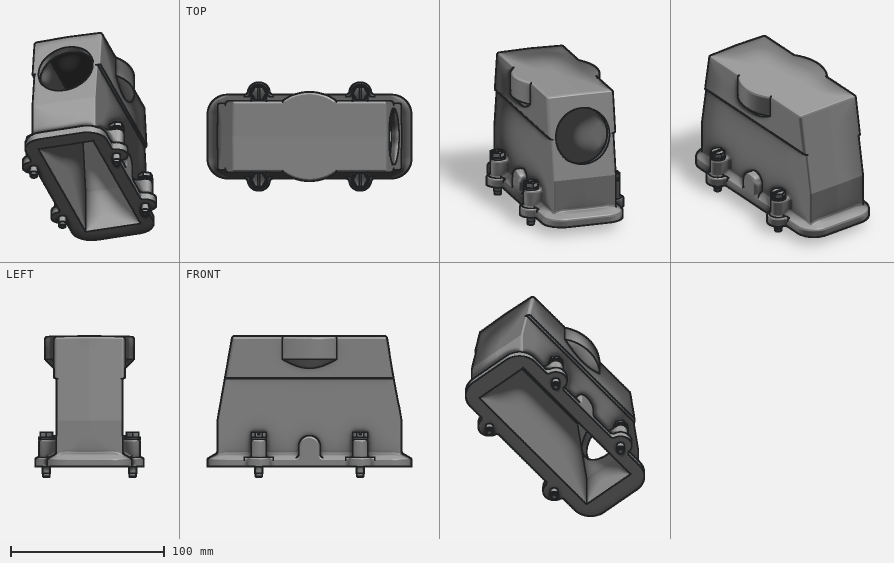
import cadquery as cq
import math

EDGE_ROUND = 2.0
DRAFT = 1.0

LENGTH = 133.0
WIDTH = 70.8
HEIGHT = 92.0
QUARTER_SIZE = 106.4

HOOD_TOP = 85.1
HOOD_HALF_LENGTH = 60.0
SLOPE_START = 30.0
SLOPE_ANGLE = 10.0
LOWER_HALF_WIDTH = 21.5
UPPER_HALF_WIDTH = 23.1
STEP_BOTTOM = 57.0
STEP_TOP = 58.0
LOWER_CORNER_ROUND = 1.0

GRIP_RADIUS = 29.1
GRIP_BOTTOM = 70.0

SIDE_WALL = 2.9
END_WALL = 5.5
ROOF_WALL = 2.9
ENTRY_DIAMETER = 37.0
ENTRY_HEIGHT = 57.5

FLANGE_HALF_WIDTH = 27.4
FLANGE_CORNER = 13.3
FLANGE_RIM = 5.2
RAMP_ANGLE = 30.0
RAMP_OVERLAP = 1.0

TONGUE_RADIUS = 7.0
TONGUE_ARC_HEIGHT = 13.2
TONGUE_SHOULDER = 6.0

POST_X = 33.0
EAR_RADIUS = 7.3
EAR_TOP = 6.0
EAR_ROUND = 1.5
EAR_NECK_ROUND = 2.0
POST_RADIUS = 4.9
POST_TOP = 18.0
POST_FOOT_HEIGHT = 1.6
POST_Y = WIDTH / 2 - EAR_RADIUS

WASHER_RADIUS = 4.9
HEAD_BOTTOM = 19.3
HEAD_TOP = 22.5
HEAD_ACROSS_FLATS = 8.2
SLOT_WIDTH = 1.2
SLOT_DEPTH = 1.7
PIN_RADIUS = 2.5
TIP_RADIUS = 2.3
TIP_START = -4.4
TIP_CHAMFER = 0.5
PIN_END = HOOD_TOP - HEIGHT

NEAR = 0.1
SLOPE_RUN = math.tan(math.radians(SLOPE_ANGLE))


def block(x_range, y_range, z_range):
    """Box given by its limits along the three axes."""
    (x0, x1), (y0, y1), (z0, z1) = x_range, y_range, z_range
    return cq.Workplane("XY", origin=(x0, y0, z0)).box(x1 - x0, y1 - y0, z1 - z0, centered=False)


def near(value, target):
    return abs(value - target) < NEAR


def keep_edges(solid, test):
    """Edges of the solid whose centre point passes the test."""
    return solid.newObject([edge for edge in solid.edges().vals() if test(edge.Center())])


def quarter(solid):
    """Portion of a solid with positive X and negative Y."""
    return solid.intersect(block((0, QUARTER_SIZE), (-QUARTER_SIZE, 0), (-QUARTER_SIZE, QUARTER_SIZE)))


def end_outline(half_length, top):
    """Front outline with upright ends below and inclined ends above."""
    top_x = half_length - (top - SLOPE_START) * SLOPE_RUN
    points = [
        (-half_length, 0),
        (half_length, 0),
        (half_length, SLOPE_START),
        (top_x, top),
        (-top_x, top),
        (-half_length, SLOPE_START),
    ]
    return cq.Workplane("XZ").polyline(points).close()


def drafted_quarter():
    """Hood outline drawn in by the draft from the middle plane outwards."""
    outline = end_outline(HOOD_HALF_LENGTH, HOOD_TOP)
    return quarter(outline.extrude(GRIP_RADIUS + 1.3, taper=DRAFT))


def lower_hood(drafted):
    lower = drafted.intersect(block((0, LENGTH), (-LOWER_HALF_WIDTH, 0), (0, STEP_TOP)))
    corners = keep_edges(lower, lambda p: p.x > HOOD_HALF_LENGTH / 2 and near(p.y, -LOWER_HALF_WIDTH))
    return corners.fillet(LOWER_CORNER_ROUND)


def upper_hood(drafted):
    """Slightly wider upper part, rounded at its corner and around the roof."""
    upper = drafted.intersect(block((0, LENGTH), (-UPPER_HALF_WIDTH, 0), (STEP_BOTTOM, HOOD_TOP)))
    middle_height = (STEP_BOTTOM + HOOD_TOP) / 2

    def is_rounded(p):
        on_roof = p.z > HOOD_TOP - EDGE_ROUND
        on_corner = abs(p.z - middle_height) < EDGE_ROUND and near(p.y, -UPPER_HALF_WIDTH)
        on_outside = p.x > NEAR and p.y < -NEAR
        return (on_roof or on_corner) and on_outside

    upper = keep_edges(upper, is_rounded).fillet(EDGE_ROUND)
    return upper.intersect(step_profile())


def step_profile():
    """Cross-section of the upper part with its bevelled lower edge."""
    points = [
        (0, STEP_BOTTOM),
        (-LOWER_HALF_WIDTH, STEP_BOTTOM),
        (-UPPER_HALF_WIDTH, STEP_TOP),
        (-UPPER_HALF_WIDTH, HOOD_TOP),
        (0, HOOD_TOP),
    ]
    return cq.Workplane("YZ").polyline(points).close().extrude(LENGTH)


def grip(drafted):
    """Round bulge with a conical underside and the rounded rim of the roof."""
    cylinder = cq.Workplane("XY").circle(GRIP_RADIUS).extrude(HOOD_TOP)
    bulge = drafted.intersect(cylinder)
    bulge = keep_edges(bulge, lambda p: p.z > HOOD_TOP - EDGE_ROUND and p.x > NEAR and p.y < -NEAR)
    bulge = bulge.fillet(EDGE_ROUND)

    cone_bottom = GRIP_BOTTOM - (GRIP_RADIUS - LOWER_HALF_WIDTH)
    points = [
        (0, cone_bottom),
        (LOWER_HALF_WIDTH, cone_bottom),
        (GRIP_RADIUS, GRIP_BOTTOM),
        (GRIP_RADIUS, HOOD_TOP),
        (0, HOOD_TOP),
    ]
    coned = cq.Workplane("XZ").polyline(points).close().revolve(360, (0, 0), (0, 1))
    return bulge.intersect(coned)


def flange():
    """Rounded rim with a ramp that rises towards the hood."""
    ramp_run = FLANGE_HALF_WIDTH - LOWER_HALF_WIDTH + RAMP_OVERLAP
    ramp_rise = ramp_run * math.tan(math.radians(RAMP_ANGLE))
    plan = cq.Sketch().rect(LENGTH, 2 * FLANGE_HALF_WIDTH).vertices().fillet(FLANGE_CORNER)
    rim = cq.Workplane("XY").placeSketch(plan).extrude(FLANGE_RIM)
    ramp = cq.Workplane("XY", origin=(0, 0, FLANGE_RIM)).placeSketch(plan)
    ramp = ramp.extrude(ramp_rise, taper=90 - RAMP_ANGLE)
    solid = rim.union(ramp)
    solid = keep_edges(solid, lambda p: near(p.z, FLANGE_RIM)).fillet(EDGE_ROUND)
    return quarter(solid)


def tongue():
    """Half of an arched slab that is flush with the flange rim and flares out into it."""
    flare_x = TONGUE_RADIUS + EDGE_ROUND
    flare_top = TONGUE_SHOULDER + EDGE_ROUND
    flare_bulge = EDGE_ROUND * (1 - math.sqrt(0.5))
    flare_middle = (TONGUE_RADIUS + flare_bulge, TONGUE_SHOULDER + flare_bulge)
    arch_middle = (TONGUE_RADIUS * math.sqrt(0.5), TONGUE_ARC_HEIGHT + TONGUE_RADIUS * math.sqrt(0.5))
    slab = (
        cq.Workplane("XZ")
        .lineTo(flare_x, 0)
        .lineTo(flare_x, TONGUE_SHOULDER)
        .threePointArc(flare_middle, (TONGUE_RADIUS, flare_top))
        .lineTo(TONGUE_RADIUS, TONGUE_ARC_HEIGHT)
        .threePointArc(arch_middle, (0, TONGUE_ARC_HEIGHT + TONGUE_RADIUS))
        .close()
        .extrude(FLANGE_HALF_WIDTH)
    )

    def is_front_rim(p):
        return near(p.y, -FLANGE_HALF_WIDTH) and p.z > TONGUE_SHOULDER and p.x > NEAR

    return keep_edges(slab, is_front_rim).fillet(EDGE_ROUND)




def ear():
    """Flange lobe under a screw post, necked smoothly into the rim."""
    front_y = -FLANGE_HALF_WIDTH
    root_half_width = EAR_RADIUS + EAR_NECK_ROUND
    root = block(
        (POST_X - root_half_width, POST_X + root_half_width),
        (front_y, -LOWER_HALF_WIDTH),
        (0, EAR_TOP),
    )
    lobe = cq.Workplane("XY").center(POST_X, -POST_Y).circle(EAR_RADIUS).extrude(EAR_TOP)
    plate = root.union(lobe)

    def is_neck(p):
        return near(p.y, front_y) and near(p.z, EAR_TOP / 2) and abs(p.x - POST_X) < EAR_RADIUS + NEAR

    plate = keep_edges(plate, is_neck).fillet(EAR_NECK_ROUND)
    outer_rim = keep_edges(plate, lambda p: near(p.z, EAR_TOP) and p.y < front_y - NEAR)
    return outer_rim.fillet(EAR_ROUND)


def post():
    """Upright pillar with a web to the hood wall, rounded on top."""
    wall_y = -LOWER_HALF_WIDTH
    pillar = cq.Workplane("XY").center(POST_X, -POST_Y).circle(POST_RADIUS).extrude(POST_TOP)
    web = block((POST_X - POST_RADIUS, POST_X + POST_RADIUS), (-POST_Y, wall_y), (0, POST_TOP))
    top_rim = keep_edges(pillar.union(web), lambda p: p.z > POST_TOP - EDGE_ROUND and p.y < wall_y - NEAR)
    return top_rim.fillet(EDGE_ROUND)


def post_foot():
    """Ring that flares from the pillar out to the rounded rim of the ear."""
    foot_radius = EAR_RADIUS - EAR_ROUND
    foot_top = EAR_TOP + POST_FOOT_HEIGHT
    hollow_point = (
        POST_RADIUS + (foot_radius - POST_RADIUS) / 4,
        EAR_TOP + POST_FOOT_HEIGHT / 3,
    )
    ring = (
        cq.Workplane("XZ")
        .lineTo(foot_radius, 0)
        .lineTo(foot_radius, EAR_TOP)
        .threePointArc(hollow_point, (POST_RADIUS, foot_top))
        .lineTo(0, foot_top)
        .close()
        .revolve(360, (0, 0), (0, 1))
    )
    return ring.translate((POST_X, -POST_Y, 0))


def screw():
    centre = (POST_X, -POST_Y)
    washer = cq.Workplane("XY", origin=(0, 0, POST_TOP)).center(*centre).circle(WASHER_RADIUS)
    washer = washer.extrude(HEAD_BOTTOM - POST_TOP)
    across_corners = HEAD_ACROSS_FLATS / math.cos(math.pi / 6)
    head = cq.Workplane("XY", origin=(0, 0, HEAD_BOTTOM)).center(*centre).polygon(6, across_corners)
    head = head.extrude(HEAD_TOP - HEAD_BOTTOM)
    slot = block(
        (POST_X - SLOT_WIDTH / 2, POST_X + SLOT_WIDTH / 2),
        (-POST_Y - across_corners, -POST_Y + across_corners),
        (HEAD_TOP - SLOT_DEPTH, HEAD_TOP),
    )
    pin = cq.Workplane("XY", origin=(0, 0, TIP_START)).center(*centre).circle(PIN_RADIUS)
    pin = pin.extrude(HEAD_BOTTOM - TIP_START)
    tip = cq.Workplane("XY", origin=(0, 0, PIN_END)).center(*centre).circle(TIP_RADIUS)
    tip = tip.extrude(TIP_START - PIN_END).faces("<Z").chamfer(TIP_CHAMFER)
    return washer.union(head).cut(slot).union(pin).union(tip)




def round_inner_corners(solid):
    wall_y = -LOWER_HALF_WIDTH
    foot_limit = FLANGE_RIM + 2 * EDGE_ROUND + 1.3

    def is_hood_foot(p):
        on_wall = 0 < p.x < HOOD_HALF_LENGTH + NEAR and wall_y - NEAR < p.y < 0
        return on_wall and FLANGE_RIM + 1.3 < p.z < foot_limit

    def is_web_root(p):
        return near(p.y, wall_y) and abs(p.x - POST_X) < POST_RADIUS + NEAR and p.z > foot_limit

    def is_post_side(p):
        on_side = near(abs(p.x - POST_X), POST_RADIUS)
        return on_side and -FLANGE_HALF_WIDTH - NEAR < p.y < wall_y - NEAR and NEAR < p.z < foot_limit

    corners = keep_edges(solid, lambda p: is_hood_foot(p) or is_web_root(p) or is_post_side(p))
    return corners.fillet(EDGE_ROUND)




def cavity():
    """Hollow of the hood, open at the bottom."""
    outline = end_outline(HOOD_HALF_LENGTH - END_WALL, HOOD_TOP - ROOF_WALL)
    inner_half_width = LOWER_HALF_WIDTH - SIDE_WALL
    return outline.extrude(inner_half_width, both=True)


def cable_entry():
    """Round hole square to the inclined end wall on the positive X side."""
    wall_x = HOOD_HALF_LENGTH - (ENTRY_HEIGHT - SLOPE_START) * SLOPE_RUN
    slope = math.radians(SLOPE_ANGLE)
    direction = cq.Vector(math.cos(slope), 0, math.sin(slope))
    start = cq.Vector(wall_x, 0, ENTRY_HEIGHT) - direction * 2 * END_WALL
    return cq.Workplane(cq.Solid.makeCylinder(ENTRY_DIAMETER / 2, 4 * END_WALL, start, direction))



drafted = drafted_quarter()
part = flange().union(lower_hood(drafted)).union(post())
part = round_inner_corners(part)
for feature in (upper_hood(drafted), grip(drafted), tongue(), ear(), post_foot()):
    part = part.union(feature)
part = part.union(screw())
part = part.union(part.mirror("XZ"))
part = part.union(part.mirror("YZ"))

result = part.cut(cavity()).cut(cable_entry())